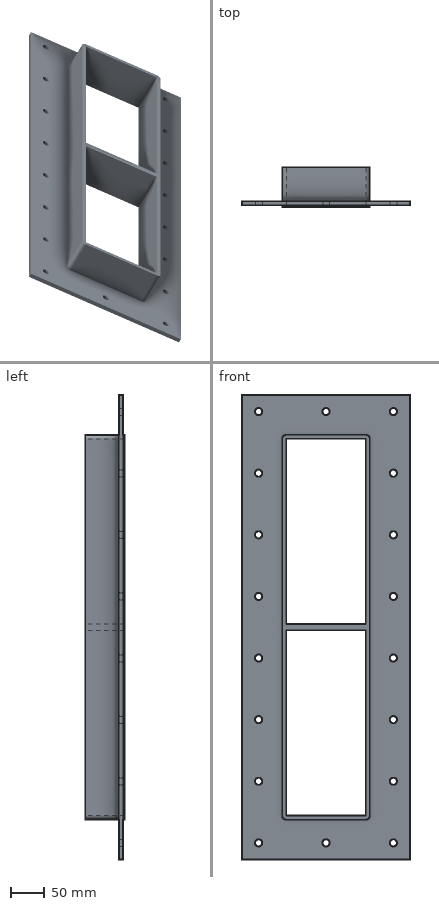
import cadquery as cq

plate_width = 253.0
plate_height = 698.0
plate_thickness = 6.0

duct_width = 132.0
duct_height = 578.0
duct_depth = 60.0
duct_wall = 6.0
duct_corner_radius = duct_wall
front_lip = 3.0
divider_thickness = 10.0

hole_diameter = 10.5
side_edge_distance = 25.0
end_edge_distance = 25.0
hole_rows = 8

hole_x = plate_width / 2 - side_edge_distance
hole_z = plate_height / 2 - end_edge_distance
row_pitch = 2 * hole_z / (hole_rows - 1)


def block(width, depth, height, front_y):
    """Box centred on X and Z whose front face lies at front_y."""
    return cq.Workplane("XY").box(width, depth, height).translate((0, front_y + depth / 2, 0))


def bolt_points():
    """Two side columns of holes plus a middle hole at each end."""
    points = [(0, -hole_z), (0, hole_z)]
    for row in range(hole_rows):
        z = -hole_z + row * row_pitch
        points += [(-hole_x, z), (hole_x, z)]
    return points


plate = block(plate_width, plate_thickness, plate_height, front_lip)
bolt_holes = (
    cq.Workplane("XZ", origin=(0, front_lip, 0))
    .pushPoints(bolt_points())
    .circle(hole_diameter / 2)
    .extrude(-plate_thickness)
)
plate = plate.cut(bolt_holes)

duct = block(duct_width, duct_depth, duct_height, 0).edges("|Y").fillet(duct_corner_radius)
opening_width = duct_width - 2 * duct_wall
opening_height = duct_height - 2 * duct_wall
opening = block(opening_width, duct_depth, opening_height, 0)

divider = block(opening_width, duct_depth, divider_thickness, 0)

result = plate.union(duct).cut(opening).union(divider)